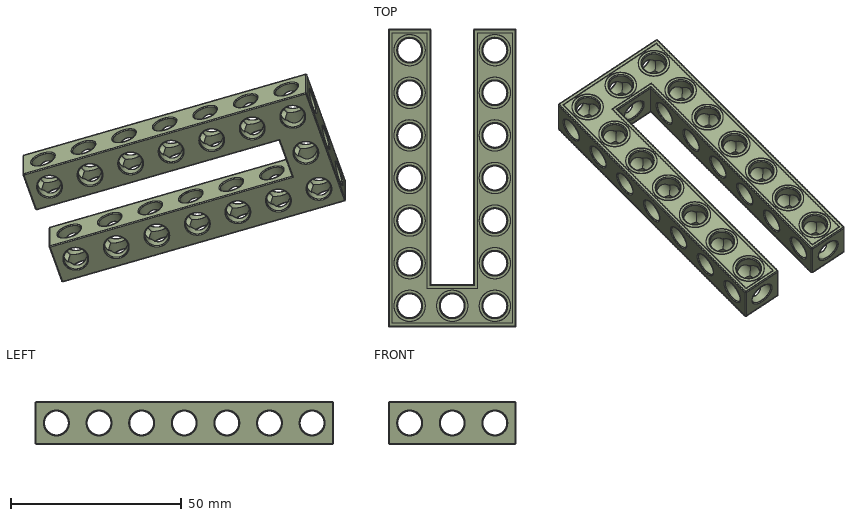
import cadquery as cq

length = 87.5
cells_long = 7
cells_wide = 3
hole_diameter = 7.0
edge_chamfer = 0.3
hole_chamfer = edge_chamfer
ring_diameter = 9.2
rim_width = 1.1
field_depth = 0.2

pitch = length / cells_long
width = cells_wide * pitch
height = pitch

slot_width = width - 2 * pitch
slot_length = length - pitch


def cell_centre(index, count):
    """Position of one cell along an axis, with the part centred on the origin."""
    return (index - (count - 1) / 2) * pitch


columns = [cell_centre(i, cells_wide) for i in range(cells_wide)]
rows = [cell_centre(j, cells_long) for j in range(cells_long)]
leg_columns = [columns[0], columns[-1]]
middle_columns = columns[1:-1]
base_row = rows[0]
free_rows = rows[1:]

upright_centres = [(x, y) for x in leg_columns for y in rows]
upright_centres += [(x, base_row) for x in middle_columns]


def u_prism(inset, thickness):
    """U-shaped plate, open toward +Y, with its outline moved inward by inset."""
    outer = cq.Workplane("XY").rect(width - 2 * inset, length - 2 * inset).extrude(thickness)
    slot = (
        cq.Workplane("XY")
        .center(0, (length - slot_length) / 2)
        .rect(slot_width + 2 * inset, slot_length + 2 * inset)
        .extrude(thickness)
    )
    return outer.cut(slot)


def make_body():
    """U-shaped block with chamfered edges; the inside corners of the slot stay sharp."""
    body = u_prism(0, height).translate((0, 0, -height / 2))
    body = body.faces("<Z or >Z or >Y").edges().chamfer(edge_chamfer)
    return body.edges("|Z and <Y").chamfer(edge_chamfer)


def make_field():
    """Shallow recess in the top face that leaves a rim and a ring around each upright hole."""
    field = u_prism(rim_width, field_depth)
    rings = (
        cq.Workplane("XY")
        .pushPoints(upright_centres)
        .circle(ring_diameter / 2)
        .extrude(field_depth)
    )
    return field.cut(rings).translate((0, 0, height / 2 - field_depth))


def hole_cutter(depth):
    """Through-hole cutter along Z, centred on the origin, with a chamfered mouth at both ends."""
    bore_radius = hole_diameter / 2
    mouth_radius = bore_radius + hole_chamfer
    half = depth / 2
    profile = [
        (0, -half),
        (mouth_radius, -half),
        (bore_radius, -half + hole_chamfer),
        (bore_radius, half - hole_chamfer),
        (mouth_radius, half),
        (0, half),
    ]
    return cq.Workplane("XZ").polyline(profile).close().revolve(360, (0, 0, 0), (0, 1, 0))


def along_x(depth):
    """Hole cutter turned to run along X."""
    return hole_cutter(depth).rotate((0, 0, 0), (0, 1, 0), 90)


def along_y(depth):
    """Hole cutter turned to run along Y."""
    return hole_cutter(depth).rotate((0, 0, 0), (1, 0, 0), 90)


result = make_body().cut(make_field())

for x, y in upright_centres:
    result = result.cut(hole_cutter(height).translate((x, y, 0)))

result = result.cut(along_x(width).translate((0, base_row, 0)))
for x in leg_columns:
    for y in free_rows:
        result = result.cut(along_x(pitch).translate((x, y, 0)))

for x in leg_columns:
    result = result.cut(along_y(length).translate((x, 0, 0)))
for x in middle_columns:
    result = result.cut(along_y(pitch).translate((x, base_row, 0)))